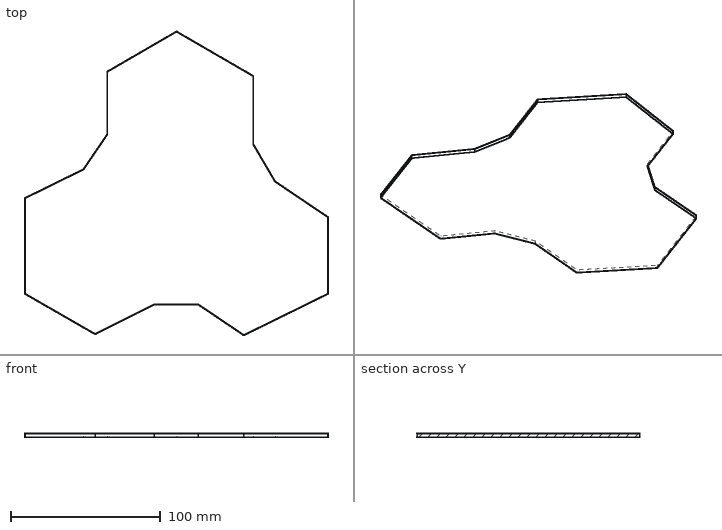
import cadquery as cq

width = 202.19
depth = 202.71
thickness = 2.54

side_x = width / 2
tip_y = depth / 2

upper_left_x = -46.3
upper_right_x = 51.3

side_foot_y = -73.7
notch_y = -80.9

upper_lobe = [
    (upper_left_x, 32.6),
    (upper_left_x, 74.5),
    (0, tip_y),
    (upper_right_x, 71.6),
    (upper_right_x, 26.0),
]
right_lobe = [
    (65.8, 1.3),
    (side_x, -22.5),
    (side_x, side_foot_y),
    (44.9, -tip_y),
    (14.6, notch_y),
]
left_lobe = [
    (-15.0, notch_y),
    (-54.3, -100.6),
    (-side_x, side_foot_y),
    (-side_x, -9.8),
    (-62.1, 9.4),
]


def make_plate():
    outline = upper_lobe + right_lobe + left_lobe
    return cq.Workplane("XY").polyline(outline).close().extrude(thickness)


result = make_plate()